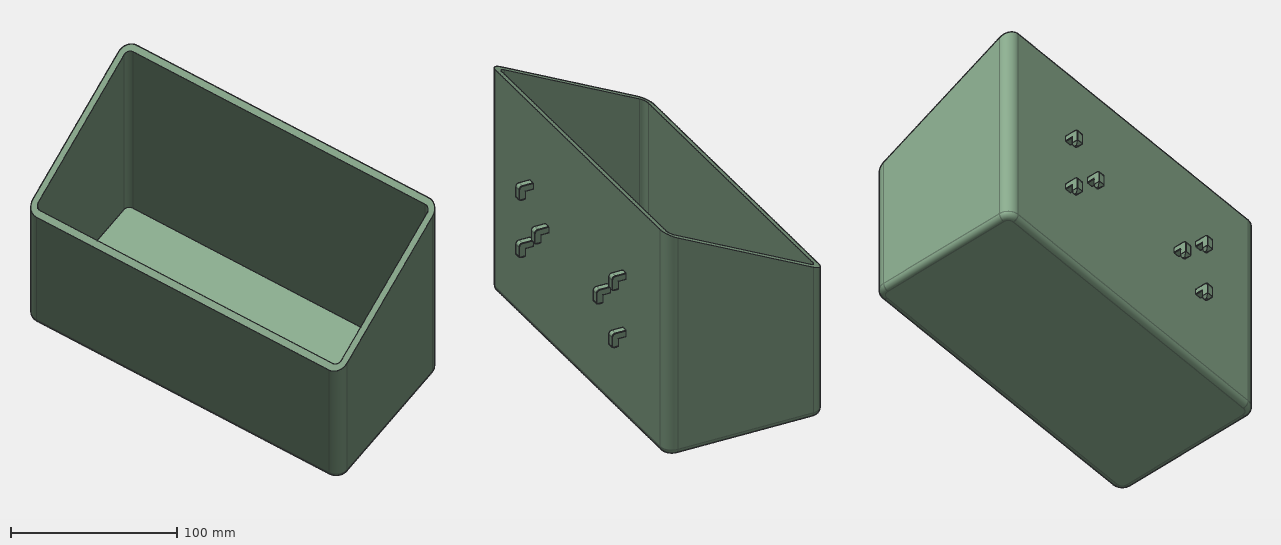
import cadquery as cq

BIN_WIDTH = 228.0
BIN_DEPTH = 108.0
BACK_HEIGHT = 156.0
FRONT_HEIGHT = 102.0
WALL = 4.0
CORNER_RADIUS = 8.0
BASE_FILLET = 3.9

OVERALL_DEPTH = 117.6
HOOK_REACH = OVERALL_DEPTH - BIN_DEPTH
HOOK_THICKNESS = 4.5
HOOK_WIDTH = 4.8
HOOK_HEIGHT = 11.2
HOOK_BEND_RADIUS = 2.3
TIP_TAPER = 1.8
TIP_OUTER_SLOPE = 2.5
TIP_INNER_BEVEL = 0.7
HOOK_EDGE_CHAMFER = 0.35

GRID_PITCH = 20.0
INNER_COLUMN_X = 40.0
OUTER_COLUMN_X = INNER_COLUMN_X + GRID_PITCH
MIDDLE_HOOK_TOP = 82.3


def make_bin():
    """Box with rounded corners, hollowed out and cut off along the sloping rim."""
    outer = (
        cq.Workplane("XY")
        .center(0, -BIN_DEPTH / 2)
        .rect(BIN_WIDTH, BIN_DEPTH)
        .extrude(BACK_HEIGHT)
        .edges("|Z")
        .fillet(CORNER_RADIUS)
        .faces("<Z")
        .edges()
        .fillet(BASE_FILLET)
    )
    cavity = (
        cq.Workplane("XY", origin=(0, 0, WALL))
        .center(0, -BIN_DEPTH / 2)
        .rect(BIN_WIDTH - 2 * WALL, BIN_DEPTH - 2 * WALL)
        .extrude(BACK_HEIGHT)
        .edges("|Z")
        .fillet(CORNER_RADIUS - WALL)
    )
    above_rim = (
        cq.Workplane("YZ")
        .polyline([(0, BACK_HEIGHT), (-BIN_DEPTH, FRONT_HEIGHT), (-BIN_DEPTH, BACK_HEIGHT)])
        .close()
        .extrude(BIN_WIDTH / 2, both=True)
    )
    return outer.cut(cavity).cut(above_rim)


def make_hook(column_x, top_z):
    """Arm that leaves the back face, then a leg that turns down to a tapered tip."""
    bottom_z = top_z - HOOK_HEIGHT
    arm_underside_z = top_z - HOOK_THICKNESS
    taper_start_z = bottom_z + TIP_TAPER
    leg_inner_y = HOOK_REACH - HOOK_THICKNESS
    side_profile = [
        (0, top_z),
        (HOOK_REACH, top_z),
        (HOOK_REACH, taper_start_z),
        (HOOK_REACH - TIP_OUTER_SLOPE, bottom_z),
        (leg_inner_y + TIP_INNER_BEVEL, bottom_z),
        (leg_inner_y, bottom_z + TIP_INNER_BEVEL),
        (leg_inner_y, arm_underside_z),
        (0, arm_underside_z),
    ]
    bent_bar = (
        cq.Workplane("YZ", origin=(column_x, 0, 0))
        .polyline(side_profile)
        .close()
        .extrude(HOOK_WIDTH / 2, both=True)
        .faces(">Z")
        .edges(">Y")
        .fillet(HOOK_BEND_RADIUS)
        .faces("<X or >X")
        .edges("not <Y")
        .chamfer(HOOK_EDGE_CHAMFER)
    )
    half_width = HOOK_WIDTH / 2
    half_tip_width = half_width - TIP_TAPER
    back_profile = [
        (-half_width, top_z),
        (half_width, top_z),
        (half_width, taper_start_z),
        (half_tip_width, bottom_z),
        (-half_tip_width, bottom_z),
        (-half_width, taper_start_z),
    ]
    side_taper = (
        cq.Workplane("XZ", origin=(column_x, 0, 0))
        .polyline(back_profile)
        .close()
        .extrude(-HOOK_REACH)
    )
    return bent_bar.intersect(side_taper)


storage_bin = make_bin()
hooks = []
for side in (-1, 1):
    for row in (-1, 1):
        hooks.append(make_hook(side * OUTER_COLUMN_X, MIDDLE_HOOK_TOP + row * GRID_PITCH))
    hooks.append(make_hook(side * INNER_COLUMN_X, MIDDLE_HOOK_TOP))

result = cq.Compound.makeCompound([storage_bin.val(), *[hook.val() for hook in hooks]])